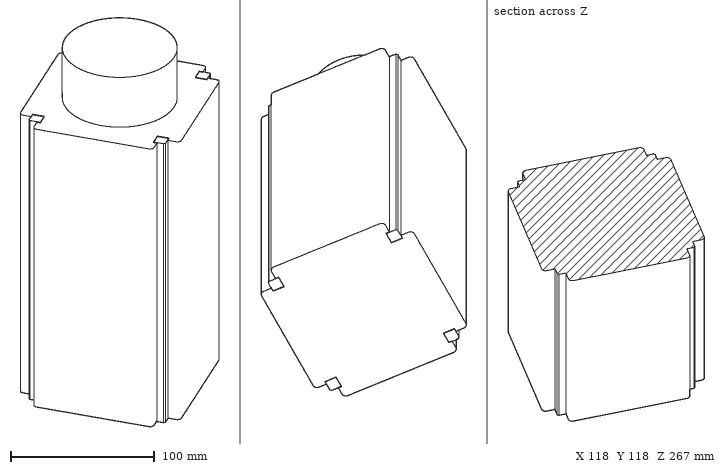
import cadquery as cq

body_width = 118.0
overall_height = 267.0
boss_diameter = 80.0
boss_height = 40.5
corner_notch = 15.0
edge_radius = 3.0
rail_size = 8.5
rail_chamfer = 1.0
rail_inner_offset = 41.5
rail_overhang = 0.5

body_bottom = rail_overhang
body_height = overall_height - boss_height - rail_overhang
body_top = body_bottom + body_height
rail_height = body_height + 2 * rail_overhang

diagonal_signs = [(-1, -1), (-1, 1), (1, -1), (1, 1)]


def make_body():
    """Prism with a cross-shaped section whose outer edges are rounded."""
    arm_width = body_width - 2 * corner_notch

    def make_arm(size_x, size_y):
        return (
            cq.Workplane("XY", origin=(0, 0, body_bottom))
            .rect(size_x, size_y)
            .extrude(body_height)
            .edges("|Z")
            .fillet(edge_radius)
        )

    arm_along_x = make_arm(body_width, arm_width)
    arm_along_y = make_arm(arm_width, body_width)
    return arm_along_x.union(arm_along_y)


def make_rails():
    """Square rails along the inner corners of the notches, chamfered on their outermost edge."""
    rail_center = rail_inner_offset + rail_size / 2
    rails = cq.Workplane("XY")
    for x_sign, y_sign in diagonal_signs:
        rail = (
            cq.Workplane("XY")
            .center(x_sign * rail_center, y_sign * rail_center)
            .rect(rail_size, rail_size)
            .extrude(rail_height)
            .edges(cq.selectors.DirectionMinMaxSelector(cq.Vector(x_sign, y_sign, 0), True))
            .chamfer(rail_chamfer)
        )
        rails = rails.add(rail)
    return rails.combine()


def make_boss():
    """Round boss centred on the top of the body."""
    return (
        cq.Workplane("XY", origin=(0, 0, body_top))
        .circle(boss_diameter / 2)
        .extrude(boss_height)
    )


result = make_body().union(make_rails()).union(make_boss())